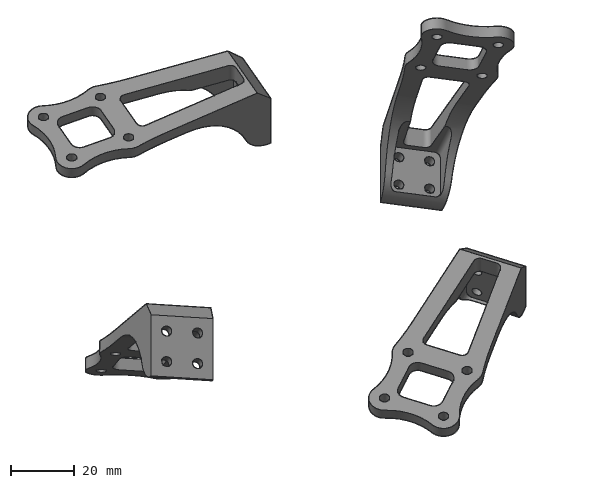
import cadquery as cq
import math

plate_thickness = 4.0
hole_diameter = 3.2
flange_hole_offset = 10.0
ear_radius = 5.0
edge_hollow_radius = 20.0
flange_window_size = 15.0
flange_window_radius = 3.0

arm_end_y = 60.0
arm_end_half_width = 10.0
arm_taper_degrees = 5.0
arm_blend_radius = 100.0
total_height = 25.0
top_chamfer = 5.0
toe_radius = 10.0
underside_start_y = 29.0

arm_window_start_y = 15.0
arm_window_end_y = 54.0
arm_window_start_width = 15.5
arm_window_radius = 2.0

pad_size = 17.0
pad_corner_radius = 2.0
pad_floor_y = 56.0
pad_center_z = -15.0
pad_hole_offset = 5.0

ear_reach = flange_hole_offset + ear_radius
hollow_center_distance = edge_hollow_radius + ear_radius
hollow_center = flange_hole_offset + math.sqrt(hollow_center_distance**2 - flange_hole_offset**2)
edge_middle = hollow_center - edge_hollow_radius
ear_share = ear_radius / hollow_center_distance
tangent_along = flange_hole_offset * (1 - ear_share)
tangent_out = flange_hole_offset + (hollow_center - flange_hole_offset) * ear_share
taper_angle = math.radians(arm_taper_degrees)


def side_x(y):
    """Half width of the tapered arm at a given Y."""
    return arm_end_half_width + (arm_end_y - y) * math.tan(taper_angle)


def mirrored(point):
    """The same point on the -X side."""
    return (-point[0], point[1])


def plan_solid():
    """Full-height prism with the outline of the flange and arm."""
    ear_gap = (side_x(flange_hole_offset) - flange_hole_offset) * math.cos(taper_angle)
    center_distance = arm_blend_radius + ear_radius
    sweep = math.acos((arm_blend_radius + ear_gap) / center_distance)
    center_angle = taper_angle + sweep
    blend_center_x = flange_hole_offset + center_distance * math.cos(center_angle)
    blend_center_y = flange_hole_offset + center_distance * math.sin(center_angle)

    def blend_point(angle):
        x = blend_center_x - arm_blend_radius * math.cos(angle)
        return (x, blend_center_y - arm_blend_radius * math.sin(angle))

    blend_end = blend_point(center_angle)
    blend_middle = blend_point(taper_angle + sweep / 2)
    blend_start = blend_point(taper_angle)
    upper_ear_middle = (ear_reach, flange_hole_offset)
    ear_diagonal = flange_hole_offset + ear_radius * math.sqrt(0.5)
    lower_ear_middle = (ear_diagonal, -ear_diagonal)
    end_corner = (side_x(arm_end_y), arm_end_y)
    outline = (
        cq.Workplane("XY")
        .moveTo(-tangent_along, -tangent_out)
        .threePointArc((0, -edge_middle), (tangent_along, -tangent_out))
        .threePointArc(lower_ear_middle, (tangent_out, -tangent_along))
        .threePointArc((edge_middle, 0), (tangent_out, tangent_along))
        .threePointArc(upper_ear_middle, blend_end)
        .threePointArc(blend_middle, blend_start)
        .lineTo(*end_corner)
        .lineTo(*mirrored(end_corner))
        .lineTo(*mirrored(blend_start))
        .threePointArc(mirrored(blend_middle), mirrored(blend_end))
        .threePointArc(mirrored(upper_ear_middle), (-tangent_out, tangent_along))
        .threePointArc((-edge_middle, 0), (-tangent_out, -tangent_along))
        .threePointArc(mirrored(lower_ear_middle), (-tangent_along, -tangent_out))
        .close()
    )
    return outline.extrude(-total_height)


def profile_solid():
    """Side profile: flat plate, curved underside, rounded toe and chamfered top corner."""
    toe_center_z = toe_radius - total_height
    toe_drop = -plate_thickness - toe_center_z
    run = arm_end_y - underside_start_y
    underside_radius = (run**2 + toe_drop**2 - toe_radius**2) / (2 * (toe_radius + toe_drop))
    curve_center_z = -plate_thickness - underside_radius
    swing = math.asin(run / (toe_radius + underside_radius))

    def toe_point(angle):
        return (arm_end_y - toe_radius * math.sin(angle), toe_center_z - toe_radius * math.cos(angle))

    def curve_point(angle):
        y = underside_start_y + underside_radius * math.sin(angle)
        return (y, curve_center_z + underside_radius * math.cos(angle))

    profile = (
        cq.Workplane("YZ")
        .moveTo(-ear_reach, 0)
        .lineTo(arm_end_y - top_chamfer, 0)
        .lineTo(arm_end_y, -top_chamfer)
        .lineTo(arm_end_y, -total_height)
        .threePointArc(toe_point(swing / 2), toe_point(swing))
        .threePointArc(curve_point(swing / 2), curve_point(0))
        .lineTo(-ear_reach, -plate_thickness)
        .close()
    )
    return profile.extrude(ear_reach, both=True)


def flange_window():
    """Rounded square window between the flange holes."""
    window = cq.Workplane("XY").rect(flange_window_size, flange_window_size).extrude(-plate_thickness)
    return window.edges("|Z").fillet(flange_window_radius)


def arm_window():
    """Window whose sides run parallel to the tapered sides of the arm."""
    start_x = arm_window_start_width / 2
    end_x = start_x - (arm_window_end_y - arm_window_start_y) * math.tan(taper_angle)
    window = (
        cq.Workplane("XY")
        .polyline([
            (-start_x, arm_window_start_y),
            (start_x, arm_window_start_y),
            (end_x, arm_window_end_y),
            (-end_x, arm_window_end_y),
        ])
        .close()
        .extrude(-total_height)
    )
    return window.edges("|Z").fillet(arm_window_radius)


def pad_recess():
    """Rounded square recess that opens toward the flange."""
    recess = (
        cq.Workplane("XZ", origin=(0, pad_floor_y, pad_center_z))
        .rect(pad_size, pad_size)
        .extrude(pad_floor_y)
    )
    return recess.edges("|Y").fillet(pad_corner_radius)


def square_of_points(offset):
    """Corners of a square centred on the workplane origin."""
    return [(x, y) for x in (-offset, offset) for y in (-offset, offset)]


def flange_holes():
    """Four vertical holes, one in each ear."""
    points = square_of_points(flange_hole_offset)
    return cq.Workplane("XY").pushPoints(points).circle(hole_diameter / 2).extrude(-plate_thickness)


def pad_holes():
    """Four holes through the end wall behind the pad."""
    points = square_of_points(pad_hole_offset)
    plane = cq.Workplane("XZ", origin=(0, arm_end_y, pad_center_z))
    return plane.pushPoints(points).circle(hole_diameter / 2).extrude(arm_end_y - pad_floor_y)


result = plan_solid().intersect(profile_solid())
for cutter in (flange_window(), arm_window(), pad_recess(), flange_holes(), pad_holes()):
    result = result.cut(cutter)